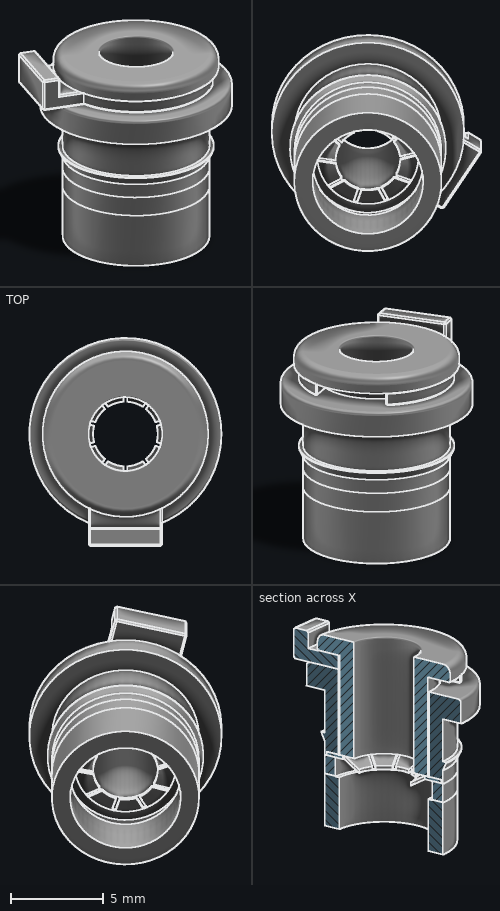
import cadquery as cq
import math


total_height = 11.0
head_thickness = 1.0
clip_thickness = 0.8
collar_thickness = 1.4
end_sleeve_height = 3.0
spacer_top = 4.08
barb_bottom = 4.86
barb_top = 5.38
barb_land = 0.05

head_bottom = total_height - head_thickness
clip_bottom = head_bottom - clip_thickness
collar_bottom = clip_bottom - collar_thickness

tube_bore = 4.0
stem_diameter = 6.0
guide_bore = 6.12
body_diameter = 8.0
barb_diameter = 8.47
clip_diameter = 8.47
head_diameter = 9.0
collar_diameter = 10.45
spacer_bore = 6.5
end_sleeve_bore = 6.0

head_top_fillet = 0.5
head_bottom_fillet = 0.125
edge_break = 0.1
collar_fillet = 0.2

tab_width = 4.0
tab_reach = 6.085
tab_thickness = 1.0
clip_opening = 4.0

grip_diameter = 7.7
grip_root_diameter = 5.5
grip_tip_diameter = 3.5
grip_thickness = 0.2
grip_drop = 0.6
tooth_count = 10
tooth_slot_width = 0.2

grip_top = spacer_top + grip_thickness


def disc(diameter, z_bottom, z_top):
    """Solid cylinder on the Z axis between two heights."""
    return cq.Workplane("XY").workplane(offset=z_bottom).circle(diameter / 2).extrude(z_top - z_bottom)


def tube(outer_diameter, inner_diameter, z_bottom, z_top):
    """Plain ring on the Z axis between two heights."""
    return disc(outer_diameter, z_bottom, z_top).cut(disc(inner_diameter, z_bottom, z_top))


def block(width, depth, y_start, z_bottom, z_top):
    """Box centred on X that runs toward +Y from y_start, between two heights."""
    box = cq.Workplane("XY").box(width, depth, z_top - z_bottom, centered=(True, False, False))
    return box.translate((0, y_start, z_bottom))


def make_release_collet():
    """Rounded push head on a stem that ends on the grip ring."""
    head = disc(head_diameter, head_bottom, total_height)
    head = head.faces(">Z").edges().fillet(head_top_fillet)
    head = head.faces("<Z").edges().fillet(head_bottom_fillet)
    stem = disc(stem_diameter, grip_top, head_bottom)
    collet = head.union(stem).cut(disc(tube_bore, grip_top, total_height))
    bore_mouth = collet.faces(">Z").edges(cq.selectors.RadiusNthSelector(0))
    return bore_mouth.fillet(edge_break)


def make_locking_clip():
    """C-shaped clip, open toward +Y, with an upright finger tab on the -Y side."""
    ring = disc(clip_diameter, clip_bottom, head_bottom)
    arm = block(tab_width, tab_reach, -tab_reach, clip_bottom, head_bottom)
    upright = block(tab_width, tab_thickness, -tab_reach, clip_bottom, total_height)
    opening = block(clip_opening, clip_diameter, 0, clip_bottom, head_bottom)
    blank = ring.union(arm).union(upright).cut(opening)
    clip_middle = (clip_bottom + head_bottom) / 2
    ring_corner_y = -math.sqrt((clip_diameter / 2) ** 2 - (tab_width / 2) ** 2)
    left_corner = cq.NearestToPointSelector((-tab_width / 2, ring_corner_y, clip_middle))
    right_corner = cq.NearestToPointSelector((tab_width / 2, ring_corner_y, clip_middle))
    upright_corner = cq.NearestToPointSelector((0, tab_thickness - tab_reach, head_bottom))
    clip = blank.edges(cq.Selector() - left_corner - right_corner - upright_corner).chamfer(edge_break)
    return clip.cut(disc(guide_bore, clip_bottom, head_bottom))


def make_cartridge_body():
    """Collared sleeve with a retaining barb and a seat for the grip ring."""
    collar = disc(collar_diameter, collar_bottom, clip_bottom)
    collar = collar.faces(">Z").edges().fillet(collar_fillet)
    sleeve = disc(body_diameter, spacer_top, collar_bottom)
    barb = (
        cq.Workplane("XZ")
        .moveTo(0, barb_bottom)
        .lineTo(body_diameter / 2, barb_bottom)
        .lineTo(barb_diameter / 2, barb_top - barb_land)
        .lineTo(barb_diameter / 2, barb_top)
        .lineTo(0, barb_top)
        .close()
        .revolve(360, (0, 0), (0, 1))
    )
    body = collar.union(sleeve).union(barb)
    body = body.cut(disc(guide_bore, spacer_top, clip_bottom))
    return body.cut(disc(grip_diameter, spacer_top, grip_top))


def make_grip_ring():
    """Flat washer whose inner part slopes down to a ring of teeth parted by slots."""
    ring = (
        cq.Workplane("XZ")
        .moveTo(grip_diameter / 2, spacer_top)
        .lineTo(grip_diameter / 2, grip_top)
        .lineTo(grip_root_diameter / 2, grip_top)
        .lineTo(grip_tip_diameter / 2, grip_top - grip_drop)
        .lineTo(grip_tip_diameter / 2, spacer_top - grip_drop)
        .lineTo(grip_root_diameter / 2, spacer_top)
        .close()
        .revolve(360, (0, 0), (0, 1))
    )
    slot = block(tooth_slot_width, grip_root_diameter / 2, 0, spacer_top - grip_drop, grip_top)
    for index in range(tooth_count):
        ring = ring.cut(slot.rotate((0, 0, 0), (0, 0, 1), index * 360 / tooth_count))
    return ring


release_collet = make_release_collet()
locking_clip = make_locking_clip()
cartridge_body = make_cartridge_body()
grip_ring = make_grip_ring()
spacer_ring = tube(body_diameter, spacer_bore, end_sleeve_height, spacer_top)
end_sleeve = tube(body_diameter, end_sleeve_bore, 0, end_sleeve_height)

result = cq.Compound.makeCompound([
    release_collet.val(),
    locking_clip.val(),
    cartridge_body.val(),
    grip_ring.val(),
    spacer_ring.val(),
    end_sleeve.val(),
])